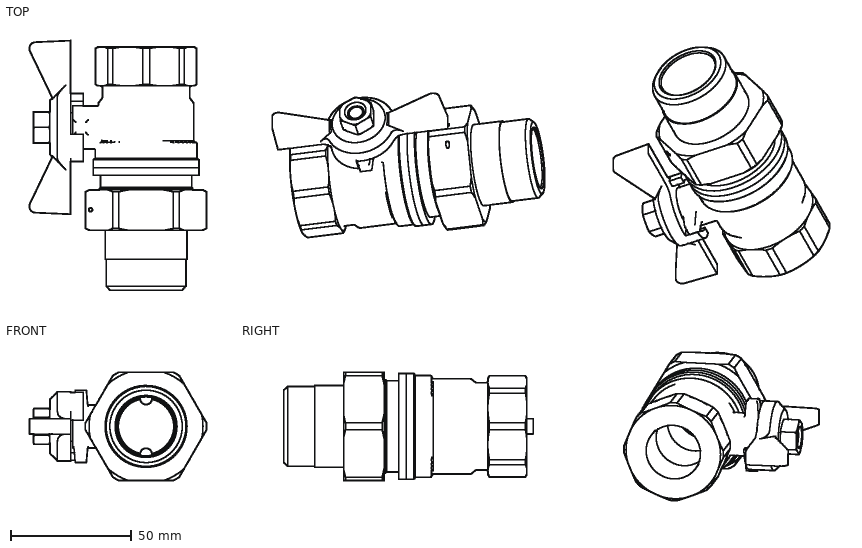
import cadquery as cq
import math


ball_radius = 16.6
ball_bore_radius = 23.0 / 2
pipe_bore_radius = 12.2

octagon_radius = 21.1
octagon_flat_width = 40.0
octagon_end_y = 33.4
octagon_base_y = 17.2
octagon_bevel = (1.0, 0.6)
waist_radius = 36.3 / 2
waist_fillet = 0.8
flare_start_y = 12.2
flare_end_y = 10.2
flare_fillet = 0.8
barrel_radius = 19.8
collar_radius = 21.2
collar_step_y = -6.1
flange_radius = 44.0 / 2
flange_start_y = -13.5
flange_bevel_length = 0.6
flange_joint_y = -16.8

neck_radius = 18.0 / 2
neck_end_x = -30.5
neck_fillet = 0.4
lug_foot_length = 6.5
lug_foot_width = 6.6
lug_center_x = -27.1
lug_foot_z = neck_radius / 2
lug_draft = 5.0
lug_reach = 15.0
lug_edge_fillet = 0.4
lug_foot_fillet = 0.3

adapter_flange_end_y = -19.9
adapter_neck_radius = 38.0 / 2
thread_radius = 38.9 / 2
thread_start_y = -24.9
adapter_spigot_end_y = -5.2
adapter_end_y = -34.3

union_nut_flat_width = 45.0
union_nut_round_radius = 25.2
union_nut_back_y = -26.0
union_nut_front_y = -42.8
union_nut_bevel = (1.6, 0.8)
seal_hole_diameter = 1.5
seal_hole_x = -23.0
seal_hole_y = -34.3

tail_flange_front_y = -38.4
tail_radius = 17.0
tail_thread_radius = 16.6
tail_thread_y = -54.8
tail_end_y = -67.7
tail_end_chamfer = (1.6, 1.8)
tail_bore_chamfer = 0.6
tail_lug_radius = 2.5
tail_lug_length = 4.2

stem_radius = 10.0 / 2
stem_inner_x = -14.0
stem_thread_radius = 6.9 / 2
stem_end_x = -45.7
stem_end_chamfer = 0.5
gland_radius = 12.4 / 2
gland_inner_x = -22.8

hub_radius = 14.4
hub_face_radius = 22.5 / 2
hub_face_x = -40.0
hub_back_x = -31.3
skirt_back_x = -26.1
skirt_gap_y = 2.8
skirt_gap_z = 2.6
wing_thickness = 6.4
wing_tip_y = 36.1
wing_corner = (-50.0, 35.3)
wing_root = (-39.1, 12.6)
wing_corner_fillet = 2.7
wing_edge_fillet = 0.4
wing_blend_radius = 4.9

handle_nut_flat_width = 13.0
handle_nut_end_x = -46.8
handle_nut_bevel = (0.6, 0.3)
handle_nut_mouth_radius = 9.0 / 2


def turned(radius_y_points):
    """Solid of revolution about the Y axis, closed along that axis."""
    first_y = radius_y_points[0][1]
    last_y = radius_y_points[-1][1]
    outline = [(0, first_y)] + radius_y_points + [(0, last_y)]
    return cq.Workplane("XY").polyline(outline).close().revolve(360, (0, 0), (0, 1))


def rod_y(radius, start_y, end_y):
    return turned([(radius, start_y), (radius, end_y)])


def rod_x(radius, start_x, end_x):
    return cq.Workplane("YZ").workplane(offset=start_x).circle(radius).extrude(end_x - start_x)


def beveled_blank(radius, start, end, bevel):
    """Round blank about Y with both rims bevelled; bevel is (radial depth, axial length)."""
    depth, length = bevel
    return turned([
        (radius - depth, start),
        (radius, start + length),
        (radius, end - length),
        (radius - depth, end),
    ])


def prism_y(sides, flat_width, start_y, end_y, turn):
    """Regular prism along Y; turn is the angle of its first corner from +X."""
    corner_radius = flat_width / 2 / math.cos(math.pi / sides)
    prism = cq.Workplane("XZ").polygon(sides, 2 * corner_radius).extrude(start_y - end_y)
    return prism.translate((0, start_y, 0)).rotate((0, 0, 0), (0, 1, 0), turn)


def make_ball():
    return cq.Workplane("XY").sphere(ball_radius)


def make_stem():
    shank = rod_x(stem_radius, stem_inner_x, hub_back_x)
    thread = rod_x(stem_thread_radius, hub_back_x, stem_end_x)
    return shank.union(thread.faces("<X").chamfer(stem_end_chamfer))


def make_housing_barrel():
    step = (collar_radius - barrel_radius) / 2
    bevel_start_y = flange_start_y + flange_bevel_length
    outline = (
        cq.Workplane("XY")
        .moveTo(0, octagon_base_y)
        .lineTo(waist_radius + waist_fillet, octagon_base_y)
        .radiusArc((waist_radius, octagon_base_y - waist_fillet), -waist_fillet)
        .lineTo(waist_radius, flare_start_y)
        .lineTo(barrel_radius, flare_end_y)
        .lineTo(barrel_radius, collar_step_y + step)
        .radiusArc((barrel_radius + step, collar_step_y), -step)
        .radiusArc((collar_radius, collar_step_y - step), step)
        .lineTo(collar_radius, bevel_start_y)
        .lineTo(flange_radius, flange_start_y)
        .lineTo(flange_radius, flange_joint_y)
        .lineTo(0, flange_joint_y)
        .close()
    )
    barrel = outline.revolve(360, (0, 0), (0, 1))
    for rim_y in (flare_start_y, flare_end_y):
        rim = cq.selectors.NearestToPointSelector((0, rim_y, 0))
        barrel = barrel.edges("%CIRCLE").edges(rim).fillet(flare_fillet)
    return barrel


def make_octagon_end():
    blank = beveled_blank(octagon_radius, octagon_base_y, octagon_end_y, octagon_bevel)
    return blank.intersect(prism_y(8, octagon_flat_width, octagon_end_y, octagon_base_y, 0))


def make_stop_lug(side):
    """Drafted stop lug standing on the neck; side is +1 for +Z and -1 for -Z."""
    lug = (
        cq.Workplane("XY", origin=(lug_center_x, 0, lug_foot_z))
        .rect(lug_foot_length, lug_foot_width)
        .extrude(lug_reach - lug_foot_z, taper=lug_draft)
    )
    lug = lug.faces(">Z").edges().fillet(lug_edge_fillet)
    return lug if side > 0 else lug.mirror("XY")


def add_neck(barrel):
    """Barrel with the stem neck joined to it by a small fillet."""
    joined = barrel.union(rod_x(neck_radius, neck_end_x, 0))
    innermost_joint_x = -math.sqrt(barrel_radius**2 - neck_radius**2)
    joint_zone = cq.selectors.BoxSelector(
        (-collar_radius, -neck_radius, -neck_radius),
        (innermost_joint_x, neck_radius, neck_radius),
    )
    joined = joined.edges(joint_zone).fillet(neck_fillet)
    for side in (1, -1):
        joined = joined.union(make_stop_lug(side))
        near_foot = side * (lug_foot_z + neck_radius) / 2
        past_foot = side * (neck_radius + lug_foot_fillet)
        foot_zone = cq.selectors.BoxSelector(
            (neck_end_x + lug_foot_fillet, -lug_foot_width / 2, near_foot),
            (lug_center_x + lug_foot_length / 2, lug_foot_width / 2, past_foot),
        )
        joined = joined.edges(foot_zone).fillet(lug_foot_fillet)
    return joined


def make_housing():
    housing = add_neck(make_housing_barrel()).union(make_octagon_end())
    housing = housing.cut(rod_y(ball_bore_radius, 0, octagon_end_y))
    housing = housing.cut(make_ball()).cut(rod_y(ball_radius, flange_joint_y, 0))
    housing = housing.cut(rod_x(gland_radius, neck_end_x, gland_inner_x))
    return housing.cut(rod_x(stem_radius, gland_inner_x, 0))


def make_adapter():
    adapter = turned([
        (ball_radius, adapter_spigot_end_y),
        (ball_radius, flange_joint_y),
        (flange_radius, flange_joint_y),
        (flange_radius, adapter_flange_end_y),
        (adapter_neck_radius, adapter_flange_end_y),
        (adapter_neck_radius, thread_start_y),
        (thread_radius, thread_start_y - (thread_radius - adapter_neck_radius)),
        (thread_radius, adapter_end_y),
    ])
    adapter = adapter.cut(rod_y(pipe_bore_radius, adapter_end_y, 0))
    return adapter.cut(make_ball())


def make_union_nut():
    blank = beveled_blank(
        union_nut_round_radius, union_nut_front_y, union_nut_back_y, union_nut_bevel
    )
    nut = blank.intersect(prism_y(6, union_nut_flat_width, union_nut_back_y, union_nut_front_y, 0))
    nut = nut.cut(rod_y(thread_radius, tail_flange_front_y, union_nut_back_y))
    nut = nut.cut(rod_y(tail_radius, union_nut_front_y, union_nut_back_y))
    seal_hole = cq.Workplane("XY").center(seal_hole_x, seal_hole_y).circle(seal_hole_diameter / 2)
    return nut.cut(seal_hole.extrude(union_nut_flat_width, both=True))


def make_tailpiece():
    end_depth, end_length = tail_end_chamfer
    tail = turned([
        (thread_radius, adapter_end_y),
        (thread_radius, tail_flange_front_y),
        (tail_radius, tail_flange_front_y),
        (tail_radius, tail_thread_y),
        (tail_thread_radius, tail_thread_y),
        (tail_thread_radius, tail_end_y + end_length),
        (tail_thread_radius - end_depth, tail_end_y),
    ])
    bore = turned([
        (pipe_bore_radius + tail_bore_chamfer, tail_end_y),
        (pipe_bore_radius, tail_end_y + tail_bore_chamfer),
        (pipe_bore_radius, adapter_end_y),
    ])
    tail = tail.cut(bore)
    lugs = (
        cq.Workplane("XZ", origin=(0, adapter_end_y, 0))
        .pushPoints([(0, ball_bore_radius), (0, -ball_bore_radius)])
        .circle(tail_lug_radius)
        .extrude(tail_lug_length)
    )
    return tail.union(lugs)


def make_gland():
    gland = rod_x(gland_radius, hub_back_x, gland_inner_x)
    return gland.cut(rod_x(stem_radius, hub_back_x, gland_inner_x))


def make_hub():
    """Round hub with concave blends to both wings, its front cut by a 45 degree cone."""
    half_wing = wing_thickness / 2
    blend_z = half_wing + wing_blend_radius
    center_distance = hub_radius + wing_blend_radius
    blend_y = math.sqrt(center_distance**2 - blend_z**2)
    touch_y = blend_y * hub_radius / center_distance
    touch_z = blend_z * hub_radius / center_distance
    depth = hub_back_x - hub_face_x
    hub = rod_x(hub_radius, hub_face_x, hub_back_x)
    face = cq.Workplane("YZ", origin=(hub_face_x, 0, 0))
    for side in (1, -1):
        blend = (
            face.moveTo(0, -touch_z)
            .lineTo(side * touch_y, -touch_z)
            .radiusArc((side * blend_y, -half_wing), side * wing_blend_radius)
            .lineTo(side * blend_y, half_wing)
            .radiusArc((side * touch_y, touch_z), side * wing_blend_radius)
            .lineTo(0, touch_z)
            .close()
            .extrude(depth)
        )
        hub = hub.union(blend)
    cone = (
        cq.Workplane("XY")
        .polyline([
            (hub_face_x, 0),
            (hub_face_x, hub_face_radius),
            (hub_back_x, hub_face_radius + depth),
            (hub_back_x, 0),
        ])
        .close()
        .revolve(360, (0, 0), (1, 0))
    )
    return hub.intersect(cone)


def make_wing():
    """Fan-shaped wing on the +Y side, reaching in to the hub."""
    wing = (
        cq.Workplane("XY")
        .polyline([
            (hub_back_x, 0),
            (hub_back_x, wing_tip_y),
            wing_corner,
            wing_root,
            (wing_root[0], 0),
        ])
        .close()
        .extrude(wing_thickness / 2, both=True)
    )
    tip_corner = cq.selectors.NearestToPointSelector((*wing_corner, 0))
    wing = wing.edges("|Z").edges(tip_corner).fillet(wing_corner_fillet)
    rims = wing.faces("|Z").edges("not |Z").edges("not(>X or <Y)")
    return rims.fillet(wing_edge_fillet)


def make_skirt():
    """Two opposite quarter rings that swing against the stop lugs."""
    ring = rod_x(hub_radius, hub_back_x, skirt_back_x)
    ring = ring.cut(rod_x(hub_face_radius, hub_back_x, skirt_back_x))
    length = skirt_back_x - hub_back_x
    middle_y = skirt_gap_y + hub_radius / 2
    middle_z = skirt_gap_z + hub_radius / 2
    quarters = (
        cq.Workplane("YZ", origin=(hub_back_x, 0, 0))
        .pushPoints([(-middle_y, middle_z), (middle_y, -middle_z)])
        .rect(hub_radius, hub_radius)
        .extrude(length)
    )
    return ring.intersect(quarters)


def make_handle():
    wing = make_wing()
    handle = make_hub().union(wing).union(wing.mirror("XZ")).union(make_skirt())
    return handle.cut(rod_x(stem_thread_radius, hub_face_x, hub_back_x))


def make_handle_nut():
    """Hexagon nut, shaped along Y and then turned to lie along X with corners at +Z and -Z."""
    length = hub_face_x - handle_nut_end_x
    corner_radius = handle_nut_flat_width / 2 / math.cos(math.pi / 6)
    nut = beveled_blank(corner_radius, 0, length, handle_nut_bevel)
    nut = nut.intersect(prism_y(6, handle_nut_flat_width, length, 0, 90))
    mouth_depth = handle_nut_mouth_radius - stem_thread_radius
    nut = nut.cut(turned([
        (stem_thread_radius, 0),
        (stem_thread_radius, length - mouth_depth),
        (handle_nut_mouth_radius, length),
    ]))
    return nut.rotate((0, 0, 0), (0, 0, 1), 90).translate((hub_face_x, 0, 0))


stem = make_stem()
ball = make_ball().cut(rod_y(ball_bore_radius, -ball_radius, ball_radius)).cut(stem)
housing = make_housing()
adapter = make_adapter()
union_nut = make_union_nut()
tailpiece = make_tailpiece()
gland = make_gland()
handle = make_handle()
handle_nut = make_handle_nut()

result = cq.Compound.makeCompound([
    housing.val(),
    ball.val(),
    adapter.val(),
    union_nut.val(),
    tailpiece.val(),
    stem.val(),
    gland.val(),
    handle.val(),
    handle_nut.val(),
])